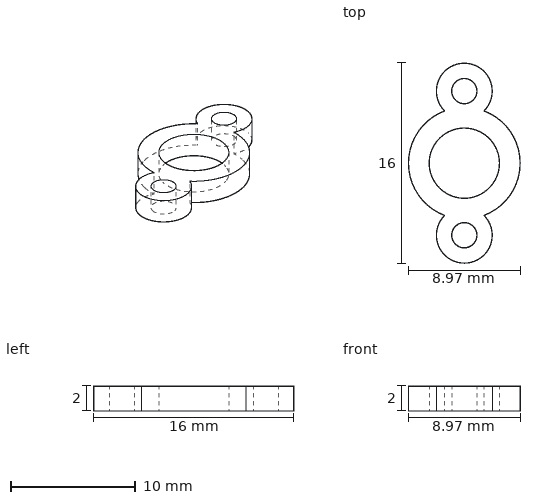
import cadquery as cq

length = 16.04
thickness = 2.0

ring_diameter = 8.97
bore_diameter = 5.61

ear_diameter = 4.49
ear_hole_diameter = 2.0
ear_offset = (length - ear_diameter) / 2


def disc(diameter, y=0):
    """Upright disc of plate thickness, centred at (0, y)."""
    return cq.Workplane("XY").center(0, y).circle(diameter / 2).extrude(thickness)


def make_flange():
    """Ring with two round ears, bored through at all three centres."""
    ear_positions = (-ear_offset, ear_offset)
    flange = disc(ring_diameter)
    for y in ear_positions:
        flange = flange.union(disc(ear_diameter, y))
    flange = flange.cut(disc(bore_diameter))
    for y in ear_positions:
        flange = flange.cut(disc(ear_hole_diameter, y))
    return flange


flange = make_flange()

result = cq.Compound.makeCompound([flange.val()])